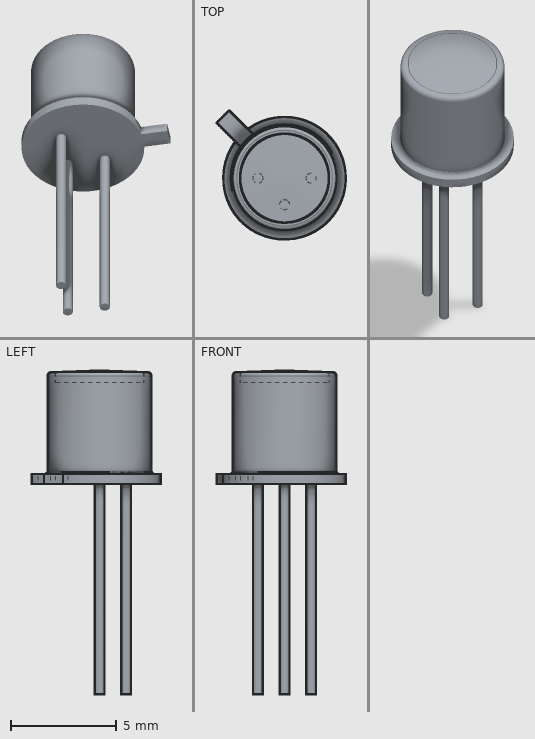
import cadquery as cq
import math

total_height = 15.4
lead_length = 10.0
flange_thickness = 0.5
lens_rise = 0.08
flange_top = lead_length + flange_thickness
case_top = total_height - lens_rise

flange_radius = 5.84 / 2
can_radius = 4.95 / 2
rim_fillet = 0.2
toe_fillet = 0.1
toe_radius = can_radius + toe_fillet

recess_radius = 4.25 / 2
lens_radius = 4.2 / 2
recess_depth = 0.5

tab_width = 0.85
tab_reach = 4.15
tab_angle = 135

lead_radius = 0.48 / 2
lead_circle_radius = 1.26
lead_angles = (180, 270, 0)


def make_cylinder(radius, bottom, height):
    return cq.Workplane("XY").workplane(offset=bottom).circle(radius).extrude(height)


def make_tab():
    """Bar let into the flange as far as the fillet at the foot of the can."""
    bar = (
        cq.Workplane("XY")
        .workplane(offset=lead_length)
        .center(tab_reach / 2, 0)
        .rect(tab_reach, tab_width)
        .extrude(flange_thickness)
    )
    core = make_cylinder(toe_radius, lead_length, flange_thickness)
    return bar.cut(core).rotate((0, 0, 0), (0, 0, 1), tab_angle)


def make_case(tab):
    """Flanged can with filleted rim and foot, a lens recess and a tab slot."""
    diagonal = math.sqrt(0.5)
    rim_centre = (can_radius - rim_fillet, case_top - rim_fillet)
    toe_centre = (toe_radius, flange_top + toe_fillet)
    rim_middle = (rim_centre[0] + rim_fillet * diagonal, rim_centre[1] + rim_fillet * diagonal)
    toe_middle = (toe_centre[0] - toe_fillet * diagonal, toe_centre[1] - toe_fillet * diagonal)
    recess_floor = case_top - recess_depth
    body = (
        cq.Workplane("XZ")
        .moveTo(0, lead_length)
        .lineTo(flange_radius, lead_length)
        .lineTo(flange_radius, flange_top)
        .lineTo(toe_radius, flange_top)
        .threePointArc(toe_middle, (can_radius, toe_centre[1]))
        .lineTo(can_radius, rim_centre[1])
        .threePointArc(rim_middle, (rim_centre[0], case_top))
        .lineTo(recess_radius, case_top)
        .lineTo(recess_radius, recess_floor)
        .lineTo(0, recess_floor)
        .close()
        .revolve(360, (0, 0, 0), (0, 1, 0))
    )
    return body.cut(tab)


def make_lens():
    """Disc with a very shallow conical top face."""
    return (
        cq.Workplane("XZ")
        .moveTo(0, case_top - recess_depth)
        .lineTo(lens_radius, case_top - recess_depth)
        .lineTo(lens_radius, case_top)
        .lineTo(0, total_height)
        .close()
        .revolve(360, (0, 0, 0), (0, 1, 0))
    )


def make_lead(angle):
    """Straight round lead ending on the underside of the flange."""
    x = lead_circle_radius * math.cos(math.radians(angle))
    y = lead_circle_radius * math.sin(math.radians(angle))
    return make_cylinder(lead_radius, 0, lead_length).translate((x, y, 0))


tab = make_tab()
case = make_case(tab)
lens = make_lens()
leads = [make_lead(angle) for angle in lead_angles]

result = cq.Compound.makeCompound(
    [case.val(), tab.val(), lens.val(), *[lead.val() for lead in leads]]
)